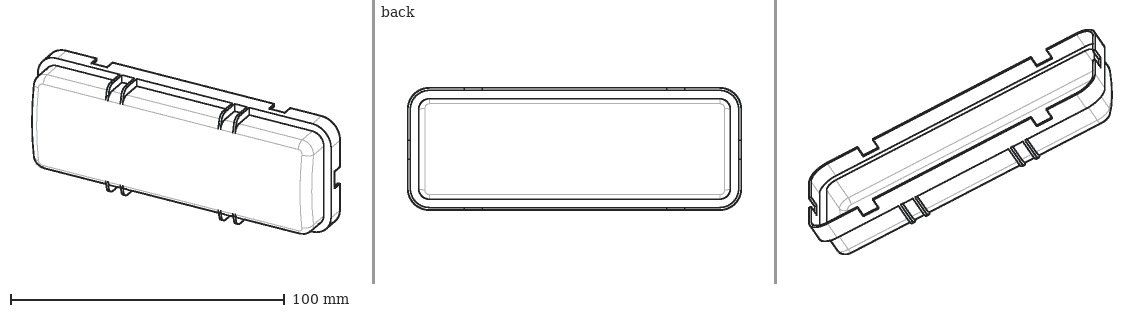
import cadquery as cq

LENGTH = 122.0
DEPTH = 19.5
HEIGHT = 44.8
WALL = 1.0

FLANGE_DEPTH = 7.0
FLANGE_CORNER = 7.9

BODY_INSET = 3.0
DOME_RADIUS = 79.3
FRONT_FILLET = 3.2

NOTCH_DEPTH = 4.1
LONG_SIDE_NOTCH_WIDTH = 6.6
LONG_SIDE_NOTCH_X = 37.0
END_NOTCH_WIDTH = 7.0
END_NOTCH_Z = -0.2

RIB_WIDTH = 1.0
RIB_PAIR_X = 23.4
RIB_SPACING = 6.1


def rounded_block(inset, depth):
    """Block with rounded corners, running from the back plane towards -Y."""
    return (
        cq.Workplane("XZ")
        .rect(LENGTH - 2 * inset, HEIGHT - 2 * inset)
        .extrude(depth)
        .edges("|Y")
        .fillet(FLANGE_CORNER - inset)
    )


def dome_cylinder(offset):
    """Cylinder along X whose front surface is the dome, moved inwards by offset."""
    return (
        cq.Workplane("YZ")
        .center(DOME_RADIUS - DEPTH, 0)
        .circle(DOME_RADIUS - offset)
        .extrude(LENGTH / 2, both=True)
    )


def domed_body(offset):
    """Body with its domed front and rounded front rim, every face moved inwards by offset."""
    block = rounded_block(BODY_INSET + offset, DEPTH)
    return block.intersect(dome_cylinder(offset)).faces("<Y").edges().fillet(FRONT_FILLET - offset)


def rib_envelope():
    """The dome carried out to the full flange height, with its long front edges rounded."""
    block = cq.Workplane("XZ").rect(LENGTH, HEIGHT).extrude(DEPTH)
    return block.intersect(dome_cylinder(0)).faces("<Y").edges("|X").fillet(FRONT_FILLET)


def ribs():
    """Thin slices of the rib envelope, in two pairs."""
    rib_positions = [
        (side * RIB_PAIR_X + shift * RIB_SPACING / 2, 0)
        for side in (-1, 1)
        for shift in (-1, 1)
    ]
    slices = cq.Workplane("XZ").pushPoints(rib_positions).rect(RIB_WIDTH, HEIGHT).extrude(DEPTH)
    return rib_envelope().intersect(slices)


def notches():
    """Cutters for two notches through both long sides and one through both ends."""
    long_side = (
        cq.Workplane("XZ")
        .pushPoints([(-LONG_SIDE_NOTCH_X, 0), (LONG_SIDE_NOTCH_X, 0)])
        .rect(LONG_SIDE_NOTCH_WIDTH, HEIGHT)
        .extrude(NOTCH_DEPTH)
    )
    ends = cq.Workplane("XZ").center(0, END_NOTCH_Z).rect(LENGTH, END_NOTCH_WIDTH).extrude(NOTCH_DEPTH)
    return long_side.union(ends)


outside = rounded_block(0, FLANGE_DEPTH).union(domed_body(0)).union(ribs())
cavity = rounded_block(WALL, FLANGE_DEPTH - WALL).union(domed_body(WALL))
result = outside.cut(cavity).cut(notches())